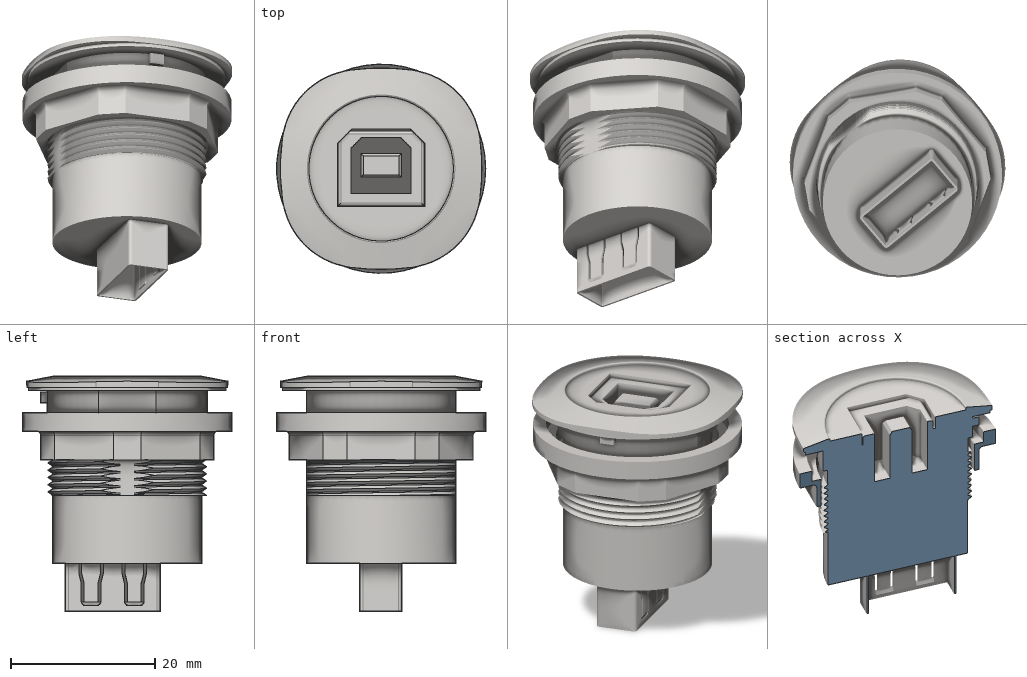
import cadquery as cq
import math


cap_width = 27.9
cap_side_radius = 32.5
cap_side_half_length = 4.35
cap_height = 2.0
cap_slope = 0.19
face_edge_rounding = 0.2
rim_diameter = 27.4
rim_height = 0.45
face_diameter = 20.05
face_depth = 0.45
cap_flat_diameter = face_diameter + 2 * face_edge_rounding
face_z = cap_height - face_depth

barrel_diameter = 20.7
barrel_bottom = -23.95
collar_diameter = 22.2
collar_bottom = -3.6
flat_distance = barrel_diameter / 2
thread_diameter = 22.0
thread_root_diameter = 20.8
thread_top = -6.0
thread_bottom = -14.55
thread_pitch = 1.0
thread_ridge_base = 0.94
thread_sink = 0.1
thread_phase = 0.75
key_reach = 12.0
key_width = 2.0
key_top = -0.2
key_bottom = -1.7

pocket_width = 12.1
pocket_top_y = 5.5
pocket_bottom_y = -5.25
pocket_chamfer = 2.0
block_width = 12.0
block_top_y = 5.25
block_bottom_y = -5.2
block_depth = 0.5
block_rounding = 0.43
pocket_depth = 2.0
opening_width = 8.3
opening_top_y = 4.35
opening_bottom_y = -3.43
opening_chamfer = 1.48
opening_depth = 8.5
tongue_width = 5.6
tongue_top_y = 2.1
tongue_bottom_y = -1.17
tongue_chamfer_side = 0.33
tongue_chamfer_height = 0.57
tongue_setback = 0.33

shell_width_x = 5.87
shell_center_x = -0.05
shell_width_y = 13.2
shell_center_y = 2.02
shell_bottom = -30.6
shell_corner_radius = 0.45
shell_wall = 0.3
window_spacing = 6.0
window_upper_half_width = 1.7
window_lower_half_width = 1.37
window_bottom = shell_bottom + 0.8
window_corner_radius = 0.65
spring_upper_half_width = 1.3
spring_lower_half_width = 0.96
spring_bottom = shell_bottom + 1.3
spring_lip_angle = 25.0
taper_top = barrel_bottom - 1.4
taper_bottom = barrel_bottom - 2.75

nut_top = -3.05
nut_flange_diameter = 29.0
nut_flange_height = 2.6
nut_height = 6.55
nut_across_flats = 24.0
nut_across_corners = 25.5
nut_neck_fillet = 0.55
nut_bore = 22.6
nut_recess_diameter = 25.35
nut_recess_depth = 1.8


def cylinder(diameter, bottom, top):
    return cq.Workplane("XY", origin=(0, 0, bottom)).circle(diameter / 2).extrude(top - bottom)


def box(x_range, y_range, z_range):
    sizes = [high - low for low, high in (x_range, y_range, z_range)]
    corner = (x_range[0], y_range[0], z_range[0])
    return cq.Workplane("XY").box(*sizes, centered=False).translate(corner)


def cap_outline():
    """Rounded square of four bowed sides and four corner arcs tangent to them."""
    half = cap_width / 2
    sine = cap_side_half_length / cap_side_radius
    cosine = math.sqrt(1 - sine**2)
    side_end = half - cap_side_radius * (1 - cosine)
    corner_radius = (side_end - cap_side_half_length) / (cosine - sine)
    corner_center = cap_side_half_length - corner_radius * sine
    corner_mid = corner_center + corner_radius / math.sqrt(2)
    s, e, m = cap_side_half_length, side_end, corner_mid
    return (
        cq.Workplane("XY", origin=(0, 0, rim_height))
        .moveTo(-s, e)
        .threePointArc((0, half), (s, e))
        .threePointArc((m, m), (e, s))
        .threePointArc((half, 0), (e, -s))
        .threePointArc((m, -m), (s, -e))
        .threePointArc((0, -half), (-s, -e))
        .threePointArc((-m, -m), (-e, -s))
        .threePointArc((-half, 0), (-e, s))
        .threePointArc((-m, m), (-s, e))
        .close()
    )


def make_cap():
    """Rounded-square plate under a shallow cone, with a recessed face and a round step below."""
    flat_radius = cap_flat_diameter / 2
    cone_radius = cap_width * 0.6
    cone = (
        cq.Workplane("XZ")
        .moveTo(0, rim_height)
        .lineTo(cone_radius, rim_height)
        .lineTo(cone_radius, cap_height - cap_slope * (cone_radius - flat_radius))
        .lineTo(flat_radius, cap_height)
        .radiusArc((face_diameter / 2, cap_height - face_edge_rounding), -face_edge_rounding)
        .lineTo(face_diameter / 2, face_z)
        .lineTo(0, face_z)
        .close()
        .revolve(360, (0, 0, 0), (0, 1, 0))
    )
    plate = cap_outline().extrude(cap_height).intersect(cone)
    return plate.union(cylinder(rim_diameter, 0, rim_height))


def flats_slab():
    """Slab between the two flats of the barrel, longer than the part."""
    return cq.Workplane("XY").box(2 * flat_distance, 2 * cap_width, 4 * cap_width)


def thread_ridges():
    """Pieces of one right-handed ridge, which the flats cut into two arcs per turn."""
    root_radius = thread_root_diameter / 2
    buried_radius = root_radius - thread_sink
    half_base = thread_ridge_base / 2
    helix = cq.Wire.makeHelix(thread_pitch, thread_pitch, root_radius)
    turn = (
        cq.Workplane("XZ")
        .polyline([(buried_radius, -half_base), (thread_diameter / 2, 0), (buried_radius, half_base)])
        .close()
        .sweep(cq.Workplane(obj=helix), isFrenet=True)
        .intersect(flats_slab())
    )
    length = thread_top - thread_bottom
    first_z = thread_bottom - thread_phase
    envelope = cylinder(2 * thread_diameter, thread_bottom, thread_top)
    pieces = []
    for index in range(math.ceil((length + thread_phase) / thread_pitch)):
        ridge = turn.translate((0, 0, first_z + index * thread_pitch))
        pieces += ridge.intersect(envelope).solids().vals()
    return pieces


def make_barrel():
    """Barrel with its flats, thread, neck, smooth collar and key."""
    core = cylinder(thread_root_diameter, thread_bottom, collar_bottom).intersect(flats_slab())
    threaded = cq.Workplane(obj=core.val().fuse(*thread_ridges()))
    collar = cylinder(collar_diameter, collar_bottom, 0).intersect(flats_slab())
    key = box((-key_width / 2, key_width / 2), (0, key_reach), (key_bottom, key_top))
    plain = cylinder(barrel_diameter, barrel_bottom, thread_bottom)
    return plain.union(threaded).union(collar).union(key)


def chamfered_outline(width, bottom_y, top_y, chamfer, z):
    """USB-B outline: a rectangle with its two +Y corners cut at 45 degrees."""
    half = width / 2
    points = [
        (-half, bottom_y),
        (half, bottom_y),
        (half, top_y - chamfer),
        (half - chamfer, top_y),
        (-half + chamfer, top_y),
        (-half, top_y - chamfer),
    ]
    return cq.Workplane("XY", origin=(0, 0, z)).polyline(points).close()


def cut_front_socket(body):
    """Pocket with the USB-B connector block, its opening and the tongue inside."""
    pocket_floor = face_z - pocket_depth
    block_z = face_z - block_depth
    opening_floor = block_z - opening_depth
    pocket = chamfered_outline(
        pocket_width, pocket_bottom_y, pocket_top_y, pocket_chamfer, pocket_floor
    ).extrude(2 * pocket_depth)
    block_chamfer = pocket_chamfer - (pocket_width - block_width) / 2 - (pocket_top_y - block_top_y)
    block = (
        chamfered_outline(block_width, block_bottom_y, block_top_y, block_chamfer, pocket_floor)
        .extrude(block_z - pocket_floor)
        .faces(">Z")
        .edges("|X or |Y")
        .fillet(block_rounding)
    )
    opening = chamfered_outline(
        opening_width, opening_bottom_y, opening_top_y, opening_chamfer, opening_floor
    ).extrude(2 * opening_depth)
    tongue = box(
        (-tongue_width / 2, tongue_width / 2),
        (tongue_bottom_y, tongue_top_y),
        (opening_floor, block_z - tongue_setback),
    )
    tongue = tongue.faces(">Z").chamfer(tongue_chamfer_height, tongue_chamfer_side)
    return body.cut(pocket).union(block).cut(opening).union(tongue)


def stepped_taper(upper_half_width, lower_half_width, bottom, x, thickness):
    """Plate along X, wide above and narrower below, centred on Y = 0."""
    points = [
        (-upper_half_width, barrel_bottom),
        (-upper_half_width, taper_top),
        (-lower_half_width, taper_bottom),
        (-lower_half_width, bottom),
        (lower_half_width, bottom),
        (lower_half_width, taper_bottom),
        (upper_half_width, taper_top),
        (upper_half_width, barrel_bottom),
    ]
    return cq.Workplane("YZ", origin=(x, 0, 0)).polyline(points).close().extrude(thickness)


def add_rear_shell(body):
    """Hollow shell open at the bottom, with two spring windows in its -X wall."""
    shell_box = (
        cq.Workplane("XY", origin=(shell_center_x, shell_center_y, shell_bottom))
        .rect(shell_width_x, shell_width_y)
        .extrude(barrel_bottom + shell_wall - shell_bottom)
        .edges("|Z")
        .fillet(shell_corner_radius)
    )
    shell = shell_box.faces("<Z").shell(-shell_wall)
    outer_x = shell_center_x - shell_width_x / 2
    lip_run = (spring_bottom - window_bottom) * math.tan(math.radians(spring_lip_angle))
    for side in (-1, 1):
        y = shell_center_y + side * window_spacing / 2
        window = stepped_taper(
            window_upper_half_width, window_lower_half_width, window_bottom, outer_x, shell_wall
        )
        window = window.faces("<Z").edges("|X").fillet(window_corner_radius)
        spring = stepped_taper(
            spring_upper_half_width, spring_lower_half_width, spring_bottom, outer_x, shell_wall
        )
        lip = (
            cq.Workplane("XZ", origin=(0, spring_upper_half_width, 0))
            .moveTo(outer_x, spring_bottom)
            .lineTo(outer_x + lip_run, window_bottom)
            .lineTo(outer_x + lip_run + shell_wall, window_bottom)
            .lineTo(outer_x + shell_wall, spring_bottom)
            .close()
            .extrude(2 * spring_upper_half_width)
        )
        shell = shell.cut(window.translate((0, y, 0)))
        shell = shell.union(spring.union(lip).translate((0, y, 0)))
    return body.union(shell)


def make_nut():
    """Round flange over a hexagon with trimmed corners, bored clear of the barrel's thread."""
    bottom = nut_top - nut_height
    flange_bottom = nut_top - nut_flange_height

    def hexagon(across_flats, turn):
        prism = cq.Workplane("XY", origin=(0, 0, bottom)).polygon(6, across_flats, circumscribed=True)
        return prism.extrude(flange_bottom - bottom).rotate((0, 0, 0), (0, 0, 1), turn)

    nut = hexagon(nut_across_flats, 30).intersect(hexagon(nut_across_corners, 0))
    nut = nut.union(cylinder(nut_flange_diameter, flange_bottom, nut_top))
    reach = (nut_across_corners + nut_flange_diameter) / 4
    half_gap = nut_neck_fillet / 2
    neck_box = cq.selectors.BoxSelector(
        (-reach, -reach, flange_bottom - half_gap),
        (reach, reach, flange_bottom + half_gap),
        boundingbox=True,
    )
    nut = nut.edges(neck_box).fillet(nut_neck_fillet)
    nut = nut.cut(cylinder(nut_bore, bottom, nut_top))
    return nut.cut(cylinder(nut_recess_diameter, nut_top - nut_recess_depth, nut_top))


def make_housing():
    body = make_cap().union(make_barrel())
    body = cut_front_socket(body)
    return add_rear_shell(body)


housing = make_housing()
nut = make_nut()
result = cq.Compound.makeCompound([housing.val(), nut.val()])